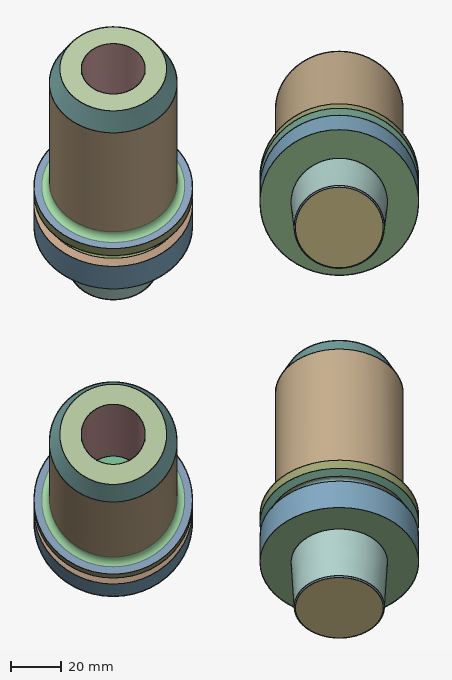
import cadquery as cq
import math


body_diameter = 50.8
nose_diameter = 42.4
nose_height = 8.8
body_top = 101.6
root_fillet = 3.0

bore_diameter = 25.4
bore_depth = 60.0

flange_diameter = 63.0
flange_height = 26.0
groove_center = 18.0
groove_floor_diameter = 55.0
groove_floor_width = 3.75
groove_mouth_width = 7.0
groove_flank_angle = 30.0
groove_corner_fillet = 0.25

shank_length = 25.0
shank_top_diameter = 38.3
shank_taper = 1 / 9.98
shank_chamfer_height = 0.6
shank_chamfer_width = 0.5

body_radius = body_diameter / 2
flange_radius = flange_diameter / 2


def make_body():
    """Straight cylinder with a conical nose and a concave fillet onto the flange."""
    nose_radius = nose_diameter / 2
    fillet_center_radius = body_radius + root_fillet
    fillet_center_z = flange_height + root_fillet
    fillet_reach = root_fillet * math.sqrt(0.5)
    fillet_middle = (fillet_center_radius - fillet_reach, fillet_center_z - fillet_reach)
    return (
        cq.Workplane("XZ")
        .moveTo(0, flange_height)
        .lineTo(fillet_center_radius, flange_height)
        .threePointArc(fillet_middle, (body_radius, fillet_center_z))
        .lineTo(body_radius, body_top - nose_height)
        .lineTo(nose_radius, body_top)
        .lineTo(0, body_top)
        .close()
        .revolve(360, (0, 0), (0, 1))
    )


def make_flange():
    """Plain disc carrying the gripper groove."""
    disc = cq.Workplane("XY").circle(flange_radius).extrude(flange_height)
    return disc.cut(make_groove())


def make_groove():
    """Ring cutter: sloping flanks, short flat side walls and rounded floor corners."""
    floor_radius = groove_floor_diameter / 2
    half_floor = groove_floor_width / 2
    half_mouth = groove_mouth_width / 2
    flank_depth = (half_mouth - half_floor) / math.tan(math.radians(groove_flank_angle))
    flank_radius = flange_radius - flank_depth
    ring = (
        cq.Workplane("XZ")
        .moveTo(floor_radius, groove_center - half_floor)
        .lineTo(flank_radius, groove_center - half_floor)
        .lineTo(flange_radius, groove_center - half_mouth)
        .lineTo(flange_radius, groove_center + half_mouth)
        .lineTo(flank_radius, groove_center + half_floor)
        .lineTo(floor_radius, groove_center + half_floor)
        .close()
        .revolve(360, (0, 0), (0, 1))
    )
    floor_edges = ring.edges(cq.selectors.RadiusNthSelector(0))
    return floor_edges.fillet(groove_corner_fillet)


def make_shank():
    """Solid taper below the flange with a small chamfer at its tip."""
    top_radius = shank_top_diameter / 2
    taper_length = shank_length - shank_chamfer_height
    bottom_radius = top_radius - taper_length * shank_taper / 2
    tip_radius = bottom_radius - shank_chamfer_width
    return (
        cq.Workplane("XZ")
        .moveTo(0, 0)
        .lineTo(top_radius, 0)
        .lineTo(bottom_radius, -taper_length)
        .lineTo(tip_radius, -shank_length)
        .lineTo(0, -shank_length)
        .close()
        .revolve(360, (0, 0), (0, 1))
    )


def make_bore():
    """Cylinder removed from the nose to receive the tool."""
    bore_floor = cq.Workplane("XY").workplane(offset=body_top - bore_depth)
    return bore_floor.circle(bore_diameter / 2).extrude(bore_depth)


result = make_shank().union(make_flange()).union(make_body()).cut(make_bore())